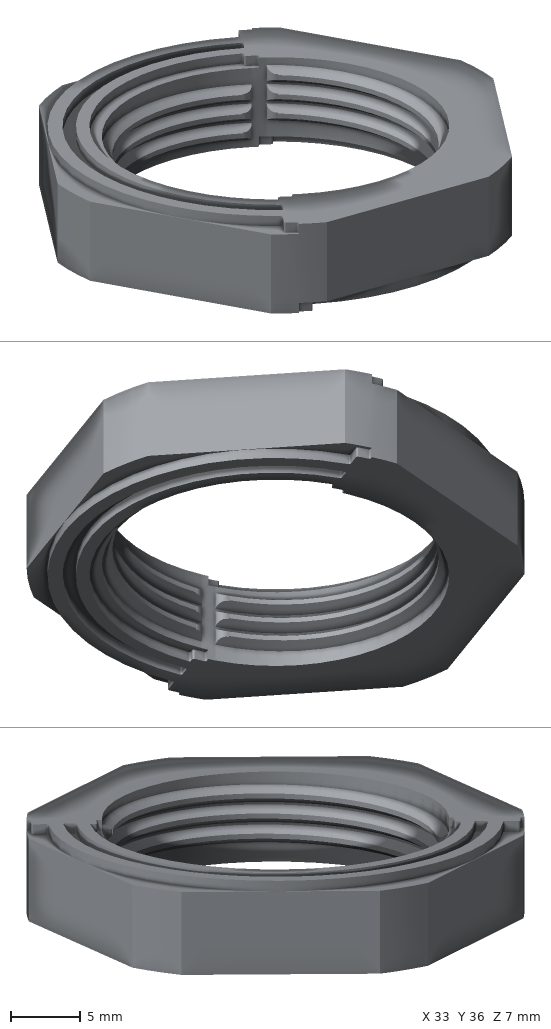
import cadquery as cq
import math

height = 7.0
corner_radius = 18.0
across_flats = 33.0
split_angle = -30.0

step_depth = 0.8
ridge_radii = [(13.45, 14.42), (15.4, 16.47)]
end_wall_inner_radius = 12.95
end_wall_outer_radius = 17.7
end_wall_width = 1.05
slot_end_distance = 0.9
end_fillet = 0.15

bore_radius = 11.8
thread_root_radius = 12.55
thread_pitch = 1.5
crest_width = thread_pitch / 4
root_width = thread_pitch / 8
crest_overlap = 0.07

notch_half_width = 0.55

oversize = 2 * corner_radius


def ring(inner, outer, depth):
    return cq.Workplane("XY").circle(outer).circle(inner).extrude(depth)


def half_box(top, depth):
    """Block filling the half plane below y = top."""
    return (
        cq.Workplane("XY")
        .center(0, top - oversize / 2)
        .rect(2 * oversize, oversize)
        .extrude(depth)
    )


def half_turn(shape):
    """Turn a shape over about the split line at mid height."""
    middle = height / 2
    return shape.rotate((0, 0, middle), (1, 0, middle), 180)


def make_blank():
    hexagon_diameter = across_flats / math.cos(math.radians(30))
    hexagon = cq.Workplane("XY").polygon(6, hexagon_diameter).extrude(height)
    disc = cq.Workplane("XY").circle(corner_radius).extrude(height)
    return hexagon.intersect(disc)


def make_step():
    """Material removed above the stepped half, leaving ridges and end walls."""
    end_walls = ring(end_wall_inner_radius, end_wall_outer_radius, step_depth)
    end_walls = end_walls.cut(half_box(-end_wall_width, step_depth))

    slot_inner = ridge_radii[0][1]
    slot_outer = ridge_radii[1][0]
    slot = ring(slot_inner, slot_outer, step_depth)
    slot = slot.intersect(half_box(-slot_end_distance, step_depth))

    kept = end_walls.cut(slot)
    for inner, outer in ridge_radii:
        kept = kept.union(ring(inner, outer, step_depth))
    step = half_box(0, step_depth).cut(kept)
    step = step.edges("|Z").fillet(end_fillet)
    return step.translate((0, 0, height - step_depth))


def make_crest(start):
    """Half turn of right-hand thread crest, rising from the given height at +X."""
    half_tip = crest_width / 2
    flank_slope = (thread_pitch - root_width - crest_width) / 2 / (thread_root_radius - bore_radius)
    base_radius = thread_root_radius + crest_overlap
    half_base = half_tip + flank_slope * (base_radius - bore_radius)
    helix = cq.Wire.makeHelix(thread_pitch, thread_pitch / 2, bore_radius)
    crest = (
        cq.Workplane("XZ")
        .moveTo(base_radius, -half_base)
        .lineTo(bore_radius, -half_tip)
        .lineTo(bore_radius, half_tip)
        .lineTo(base_radius, half_base)
        .close()
        .sweep(cq.Workplane(helix), isFrenet=True)
    )
    return crest.translate((0, 0, start))


def make_half_bore():
    """Opening of the half at y > 0, with the helical thread crests left standing."""
    bore = cq.Workplane("XY").circle(thread_root_radius).extrude(height)
    bore = bore.cut(half_box(0, height))
    for turn in (-1, 0, 1):
        bore = bore.cut(make_crest(height / 2 + turn * thread_pitch))
    return bore


def make_notch():
    """Gap in the thread crests at the +X end of the split, leaving rounded crest ends."""
    round_radius = thread_root_radius - bore_radius
    wide_half = notch_half_width + round_radius
    diagonal = round_radius * math.sqrt(0.5)
    arc_middle = (thread_root_radius - diagonal, wide_half - diagonal)
    inner = bore_radius - round_radius
    upper_half = (
        cq.Workplane("XY")
        .moveTo(inner, 0)
        .lineTo(thread_root_radius, 0)
        .lineTo(thread_root_radius, notch_half_width)
        .threePointArc(arc_middle, (bore_radius, wide_half))
        .lineTo(inner, wide_half)
        .close()
        .extrude(height)
    )
    return upper_half.union(upper_half.mirror("XZ"))


step = make_step()
half_bore = make_half_bore()
notch = make_notch()

nut = make_blank()
for cutter in (step, half_bore):
    nut = nut.cut(cutter).cut(half_turn(cutter))
nut = nut.cut(notch).cut(notch.mirror("YZ"))

result = nut.rotate((0, 0, 0), (0, 0, 1), split_angle)